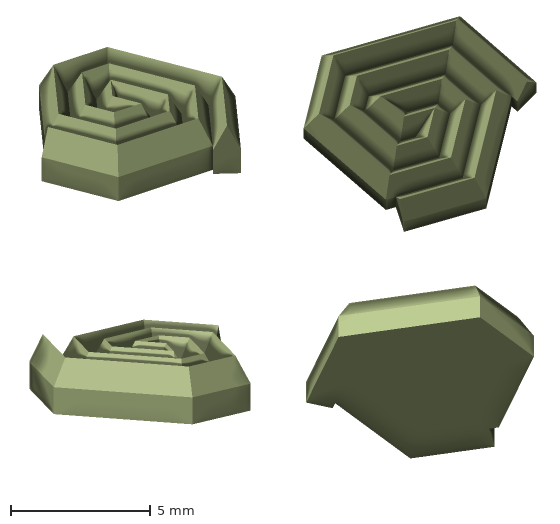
import cadquery as cq
import math

overall_length = 8.52
tail_length = 2.8

grid_steps_across = 7
cos30 = math.cos(math.radians(30))
pitch = overall_length / (grid_steps_across / cos30 + cos30 / 2)
step = pitch / cos30
half_width = pitch / 2
eave_height = pitch
ridge_height = 2 * pitch

ridge_start = cq.Vector(3.5 * step, 0, 0)
legs = [
    (120, 3 * step),
    (180, 4 * step),
    (240, 2 * step),
    (300, 3 * step),
    (0, 2 * step),
    (60, 2 * step),
    (120, step),
    (180, 2 * step),
    (300, step),
    (0, step),
    (240, step),
    (180, step),
    (120, 2 * step),
    (60, step),
    (0, 3 * step),
    (300, 2 * step),
    (240, 3 * step),
    (180, tail_length),
]
LEFT, RIGHT = 1, -1
SHARP_TURN = 90
POINT_TOLERANCE = 8.52e-06


def polar(angle, radius):
    """Horizontal vector at an angle in degrees."""
    radians = math.radians(angle)
    return cq.Vector(radius * math.cos(radians), radius * math.sin(radians), 0)


def mitre_offset(heading, turn, side):
    """Offset from a ridge corner to the eave corner where two legs meet."""
    radius = half_width / math.cos(math.radians(turn / 2))
    return polar(heading + turn / 2 + side * 90, radius)


def eave_offsets(heading, next_heading, side):
    """Eave offsets ending one leg and starting the next; they differ only at a bevel."""
    turn = (next_heading - heading + 180) % 360 - 180
    is_outer = turn * side < 0
    if is_outer and abs(turn) > SHARP_TURN:
        half_turn = turn / 2
        return (mitre_offset(heading, half_turn, side),
                mitre_offset(heading + half_turn, half_turn, side))
    shared = mitre_offset(heading, turn, side)
    return shared, shared


def roofed_block(ridge_points, eave_points):
    """Block standing on Z = 0 with a flat roof face sloping from ridge to eave."""
    raised = [point + cq.Vector(0, 0, ridge_height) for point in ridge_points]
    raised += [point + cq.Vector(0, 0, eave_height) for point in eave_points]
    roof = []
    for point in raised:
        if all((point - other).Length > POINT_TOLERANCE for other in roof):
            roof.append(point)
    floor = [cq.Vector(point.x, point.y, 0) for point in roof]

    outlines = [roof, floor]
    for i in range(len(roof)):
        j = (i + 1) % len(roof)
        outlines.append([floor[i], floor[j], roof[j], roof[i]])
    faces = [cq.Face.makeFromWires(cq.Wire.makePolygon(outline, close=True)) for outline in outlines]
    return cq.Solid.makeSolid(cq.Shell.makeShell(faces))


ridge = [ridge_start]
for heading, length in legs:
    ridge.append(ridge[-1] + polar(heading, length))


def half_wall_blocks(side):
    """Blocks of the wall lying on one side of the ridge."""
    blocks = []
    eave_start = ridge[0] + polar(legs[0][0] + side * 90, half_width)
    for i, (heading, _) in enumerate(legs):
        start, end = ridge[i], ridge[i + 1]
        is_last = i == len(legs) - 1
        next_heading = heading if is_last else legs[i + 1][0]
        end_offset, next_offset = eave_offsets(heading, next_heading, side)
        eave_end = end + end_offset
        next_eave_start = end + next_offset
        blocks.append(roofed_block([start, end], [eave_end, eave_start]))
        if (next_eave_start - eave_end).Length > POINT_TOLERANCE:
            blocks.append(roofed_block([end], [eave_end, next_eave_start]))
        eave_start = next_eave_start
    return blocks


blocks = half_wall_blocks(LEFT) + half_wall_blocks(RIGHT)
fused = blocks[0].fuse(*blocks[1:]).clean()
result = cq.Workplane(obj=fused.Solids()[0])